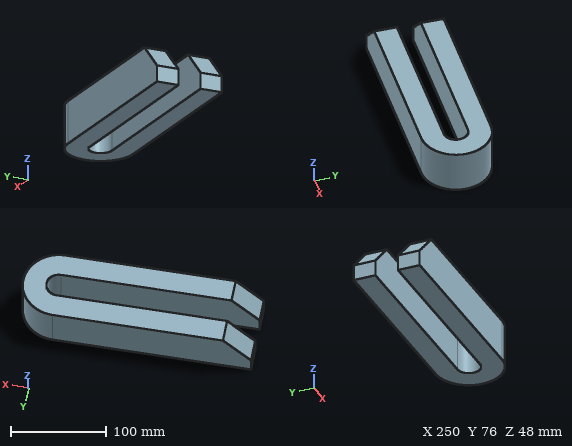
import cadquery as cq

length = 250.0
width = 76.0
height = 48.0
slot_width = 26.0
nose_chamfer = 30.0

outer_radius = width / 2
slot_radius = slot_width / 2
arc_center_x = length - outer_radius


def u_profile():
    """Plan outline of the U: open at X = 0, rounded at X = length."""
    return (
        cq.Workplane("XY")
        .moveTo(0, -outer_radius)
        .lineTo(arc_center_x, -outer_radius)
        .threePointArc((length, 0), (arc_center_x, outer_radius))
        .lineTo(0, outer_radius)
        .lineTo(0, slot_radius)
        .lineTo(arc_center_x, slot_radius)
        .threePointArc((arc_center_x + slot_radius, 0), (arc_center_x, -slot_radius))
        .lineTo(0, -slot_radius)
        .close()
    )


def nose_cutter():
    """Triangular prism that slopes the top of both arm tips at 45 degrees."""
    return (
        cq.Workplane("XZ")
        .moveTo(0, height)
        .lineTo(nose_chamfer, height)
        .lineTo(0, height - nose_chamfer)
        .close()
        .extrude(outer_radius, both=True)
    )


result = u_profile().extrude(height).cut(nose_cutter())